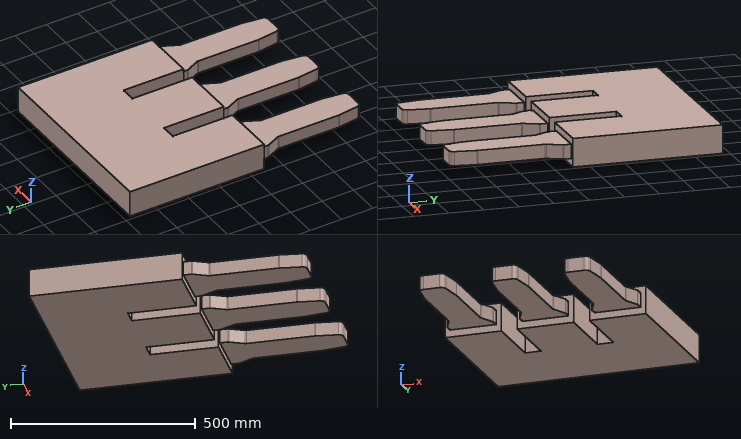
import cadquery as cq

LEG_COUNT = 3
LEG_PITCH = 208.28
SLOT_WIDTH = 45.72
SLOT_DEPTH = 190.5
BODY_LENGTH = 426.72
BODY_THICKNESS = 81.28
BODY_WIDTH = LEG_COUNT * LEG_PITCH - SLOT_WIDTH

PRONG_LENGTH = 335.28
PRONG_THICKNESS = 40.64
ROOT_WIDTH = 132.08
SHANK_WIDTH = 90.8
TIP_WIDTH = 71.12
FLARE_START = 23.2
FLARE_END = 66.7
TAPER_START = 260.5
TIP_RADIUS = 14.0
FLARE_RADIUS = 6.35
TAPER_RADIUS = 20.0

BACK_Y = (BODY_LENGTH + PRONG_LENGTH) / 2
LEG_END_Y = BACK_Y - BODY_LENGTH


def centred_positions(count):
    """X positions of a row of evenly pitched items centred on X = 0."""
    return [(i - (count - 1) / 2) * LEG_PITCH for i in range(count)]


def make_body():
    """Plate with open slots that split its front edge into legs."""
    body = cq.Workplane("XY").box(BODY_WIDTH, BODY_LENGTH, BODY_THICKNESS)
    body = body.translate((0, BACK_Y - BODY_LENGTH / 2, 0))
    for x in centred_positions(LEG_COUNT - 1):
        slot = cq.Workplane("XY").box(SLOT_WIDTH, SLOT_DEPTH, BODY_THICKNESS)
        body = body.cut(slot.translate((x, LEG_END_Y + SLOT_DEPTH / 2, 0)))
    return body


def round_corners(prong, distance, half_width, radius):
    """Round the two upright edges at a distance along the prong."""
    for side in (-1, 1):
        corner = (side * half_width, -distance, 0)
        prong = prong.edges(cq.selectors.NearestToPointSelector(corner)).fillet(radius)
    return prong


def make_prong():
    """Flat prong pointing along -Y, with its root centred on the origin."""
    half_profile = [
        (0, ROOT_WIDTH / 2),
        (FLARE_START, ROOT_WIDTH / 2),
        (FLARE_END, SHANK_WIDTH / 2),
        (TAPER_START, SHANK_WIDTH / 2),
        (PRONG_LENGTH, TIP_WIDTH / 2),
    ]
    left = [(-half_width, -distance) for distance, half_width in half_profile]
    right = [(half_width, -distance) for distance, half_width in reversed(half_profile)]
    prong = cq.Workplane("XY").polyline(left + right).close()
    prong = prong.extrude(PRONG_THICKNESS / 2, both=True)

    corner_radii = [FLARE_RADIUS, FLARE_RADIUS, TAPER_RADIUS, TIP_RADIUS]
    for (distance, half_width), radius in zip(half_profile[1:], corner_radii):
        prong = round_corners(prong, distance, half_width, radius)
    return prong


result = make_body()
prong = make_prong()
for x in centred_positions(LEG_COUNT):
    result = result.union(prong.translate((x, LEG_END_Y, 0)))